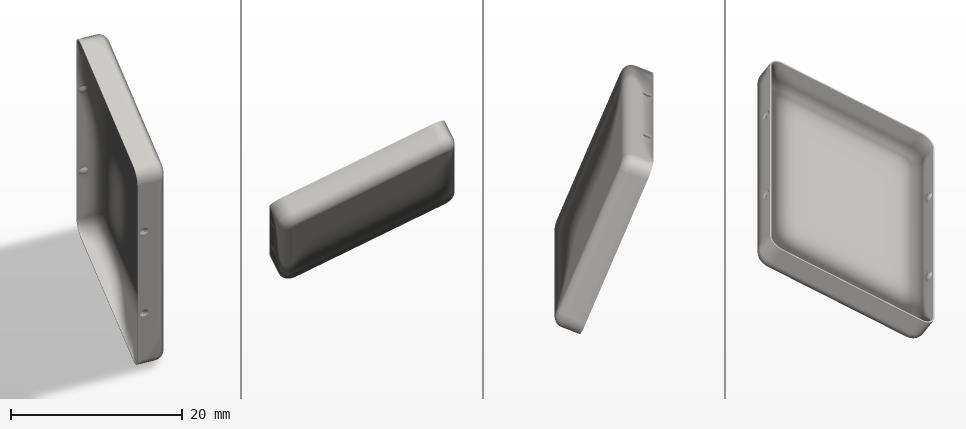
import cadquery as cq

width = 22.7
depth = 3.5
height = 35.7
wall = 0.2
corner_radius = 1.8
floor_edge_radius = 1.2

dimple_radius = 0.57
dimple_height = 0.25
dimple_from_rim = 0.8
dimple_spacing = 15.0
dimple_sphere_radius = (dimple_radius**2 + dimple_height**2) / (2 * dimple_height)

rim_y = -depth / 2


def rounded_block(inset):
    """Block inset from the tray's sides and floor, rounded at its corners and floor edge."""
    return (
        cq.Workplane("XZ", origin=(0, rim_y, 0))
        .rect(width - 2 * inset, height - 2 * inset)
        .extrude(-(depth - inset))
        .edges("|Y")
        .fillet(corner_radius - inset)
        .faces(">Y")
        .edges()
        .fillet(floor_edge_radius - inset)
    )


def dimple(side, face_x, z):
    """Spherical cap inward from a side-wall face, on a short round stub that crosses the face."""
    stub_length = wall / 2
    profile = (
        cq.Workplane("XZ")
        .moveTo(-dimple_height, 0)
        .lineTo(stub_length, 0)
        .lineTo(stub_length, dimple_radius)
        .lineTo(0, dimple_radius)
        .radiusArc((-dimple_height, 0), -dimple_sphere_radius)
        .close()
    )
    cap = profile.revolve(360, (0, 0, 0), (1, 0, 0))
    if side < 0:
        cap = cap.mirror("YZ")
    return cap.translate((side * face_x, rim_y + dimple_from_rim, z))


result = rounded_block(0).cut(rounded_block(wall))

outer_face_x = width / 2
inner_face_x = outer_face_x - wall
for side in (-1, 1):
    for z in (-dimple_spacing / 2, dimple_spacing / 2):
        bump = dimple(side, inner_face_x, z)
        dent = dimple(side, outer_face_x, z)
        result = result.union(bump).cut(dent)